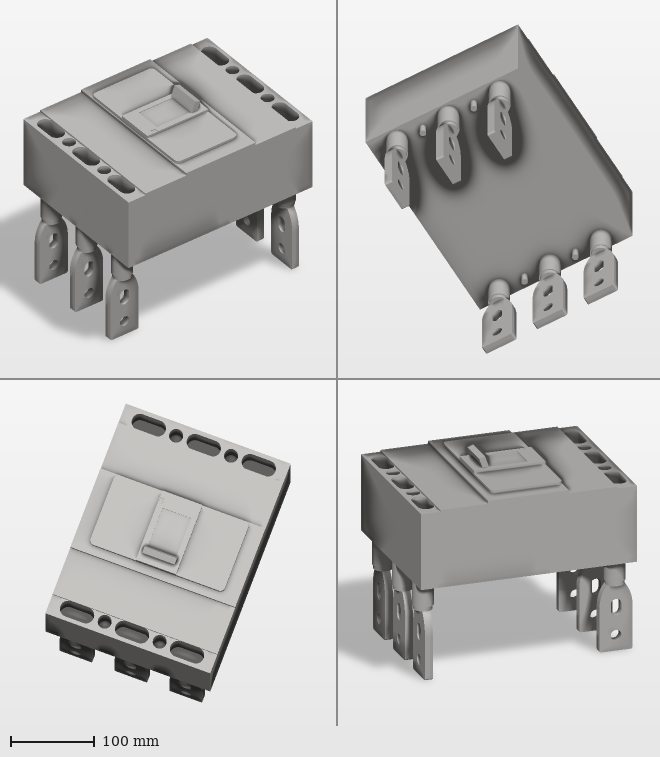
import cadquery as cq
import math

case_width = 210.0
case_length = 274.0
end_height = 97.0
shoulder_height = 99.3
center_height = 103.0
shoulder_back_y = 112.5
shoulder_front_y = -112.0
center_back_y = 52.0
center_front_y = -51.0

cover_width = 171.3
cover_back_y = 40.7
cover_front_y = -50.0
cover_corner_radius = 5.9
cover_top = 107.0
strip_width = 51.0
strip_center_x = 0.3
strip_top = 110.8

handle_width = 41.3
handle_thickness = 7.8
handle_tilt = 20
handle_base_y = 19.8
handle_top = 125.8
window_width = 36.3
window_front_y = -29.9
button_width = 5.0
button_length = 6.7
button_center_x = 22.0
button_center_y = -37.5
recess_depth = 0.8

poles = (-1, 0, 1)
pole_pitch = 70.0
front_row_y = -121.0
back_row_y = 122.0
well_length = 42.5
well_width = 19.8
well_depth = 33.5

head_diameter = 16.7
head_flat_diameter = 5.0
head_bottom = end_height - well_depth
shank_diameter = 7.8
shank_bottom = -13.5

front_terminal_pitch = 70.5
post_diameter = 26.2
post_bottom = -32.0
neck_diameter = 23.5
neck_bottom = -37.7
blade_width = 41.8
blade_thickness = 10.0
blade_shoulder = -65.0
blade_bottom = -122.5
blade_corner = 2.2
blade_hole_diameter = 13.5
blade_hole_z = -102.7
blade_slot_length = 21.2
blade_slot_z = -67


def slab(width, front_y, back_y, bottom, top):
    """Block centred on X = 0 between two Y positions and two heights."""
    return (
        cq.Workplane("XY", origin=(0, (front_y + back_y) / 2, bottom))
        .box(width, back_y - front_y, top - bottom, centered=(True, True, False))
    )


def cylinder(x, y, bottom, top, diameter):
    return cq.Workplane("XY", origin=(x, y, bottom)).circle(diameter / 2).extrude(top - bottom)


def case_block():
    ends = slab(case_width, -case_length / 2, case_length / 2, 0, end_height)
    shoulders = slab(case_width, shoulder_front_y, shoulder_back_y, 0, shoulder_height)
    center = slab(case_width, center_front_y, center_back_y, 0, center_height)
    return ends.union(shoulders).union(center)


def front_cover():
    plate = slab(cover_width, cover_front_y, cover_back_y, center_height, cover_top)
    plate = plate.edges("|Z").fillet(cover_corner_radius)
    strip = slab(strip_width, cover_front_y, cover_back_y, center_height, strip_top)
    strip = strip.translate((strip_center_x, 0, 0))
    window = slab(window_width, window_front_y, handle_base_y, strip_top - recess_depth, strip_top)
    button = (
        cq.Workplane("XY", origin=(button_center_x, button_center_y, strip_top))
        .rect(button_width, button_length)
        .extrude(-recess_depth)
    )
    return plate.union(strip).cut(window).cut(button)


def handle():
    """Flat lever leaning towards +Y, its foot level with the strip."""
    tilt = math.radians(handle_tilt)
    rise = handle_top - strip_top
    front_top_y = handle_base_y + rise * math.tan(tilt)
    back_top_y = front_top_y + handle_thickness * math.cos(tilt)
    back_top_z = handle_top - handle_thickness * math.sin(tilt)
    back_base_y = handle_base_y + handle_thickness / math.cos(tilt)
    return (
        cq.Workplane("YZ")
        .moveTo(handle_base_y, strip_top)
        .lineTo(front_top_y, handle_top)
        .lineTo(back_top_y, back_top_z)
        .lineTo(back_base_y, strip_top)
        .close()
        .extrude(handle_width / 2, both=True)
    )


def wiring_wells():
    """Round-ended pockets, one per pole at each end, flush with the faces of the shoulders."""
    front_y = shoulder_front_y - well_width / 2
    back_y = shoulder_back_y + well_width / 2
    return (
        cq.Workplane("XY", origin=(0, 0, end_height))
        .pushPoints([(pole * pole_pitch, y) for pole in poles for y in (front_y, back_y)])
        .slot2D(well_length, well_width)
        .extrude(-well_depth)
    )


def terminal(x, y, turn):
    """Post, neck and blade hanging below the case; turn swings the blade about the vertical."""
    post = cylinder(0, 0, post_bottom, 0, post_diameter)
    neck = cylinder(0, 0, neck_bottom, post_bottom, neck_diameter)
    half_width = blade_width / 2
    half_neck = neck_diameter / 2
    shoulder_drop = neck_bottom - blade_shoulder
    overhang = half_width - half_neck
    shoulder_radius = (overhang**2 + shoulder_drop**2) / (2 * overhang)
    sweep = math.asin(shoulder_drop / shoulder_radius) / 2
    arc_mid_x = half_width - shoulder_radius * (1 - math.cos(sweep))
    arc_mid_z = blade_shoulder + shoulder_radius * math.sin(sweep)
    blade = (
        cq.Workplane("XZ")
        .moveTo(-half_width, blade_bottom)
        .lineTo(half_width, blade_bottom)
        .lineTo(half_width, blade_shoulder)
        .threePointArc((arc_mid_x, arc_mid_z), (half_neck, neck_bottom))
        .lineTo(-half_neck, neck_bottom)
        .threePointArc((-arc_mid_x, arc_mid_z), (-half_width, blade_shoulder))
        .close()
        .extrude(blade_thickness / 2, both=True)
        .edges("|Y and <Z")
        .fillet(blade_corner)
    )
    hole = (
        cq.Workplane("XZ", origin=(0, 0, blade_hole_z))
        .circle(blade_hole_diameter / 2)
        .extrude(blade_thickness, both=True)
    )
    slot = (
        cq.Workplane("XZ", origin=(0, 0, blade_slot_z))
        .slot2D(blade_slot_length, blade_hole_diameter, 90)
        .extrude(blade_thickness, both=True)
    )
    whole = post.union(neck).union(blade.cut(hole).cut(slot))
    return whole.rotate((0, 0, 0), (0, 0, 1), turn).translate((x, y, 0))


def screw_hole(x, y):
    """Counterbore down to the screw head, then a shank hole through the case."""
    counterbore = cylinder(x, y, head_bottom, end_height, head_diameter)
    return counterbore.union(cylinder(x, y, 0, head_bottom, shank_diameter))


def screw(x, y):
    """Shank with a half-ball head whose crown is cut flat."""
    head_radius = head_diameter / 2
    flat_radius = head_flat_diameter / 2
    head_top = head_bottom + math.sqrt(head_radius**2 - flat_radius**2)
    profile = (
        cq.Workplane("XZ")
        .moveTo(0, shank_bottom)
        .lineTo(shank_diameter / 2, shank_bottom)
        .lineTo(shank_diameter / 2, head_bottom)
        .lineTo(head_radius, head_bottom)
        .radiusArc((flat_radius, head_top), -head_radius)
        .lineTo(0, head_top)
        .close()
    )
    return profile.revolve(360, (0, 0, 0), (0, 1, 0)).translate((x, y, 0))


case = case_block().union(front_cover()).union(handle()).cut(wiring_wells())
for pole in poles:
    case = case.union(terminal(pole * front_terminal_pitch, front_row_y, 90))
    case = case.union(terminal(pole * pole_pitch, back_row_y, 0))

screws = []
for x in (-pole_pitch / 2, pole_pitch / 2):
    for y in (front_row_y, back_row_y):
        case = case.cut(screw_hole(x, y))
        screws.append(screw(x, y).val())

result = cq.Compound.makeCompound([case.solids().val(), *screws])